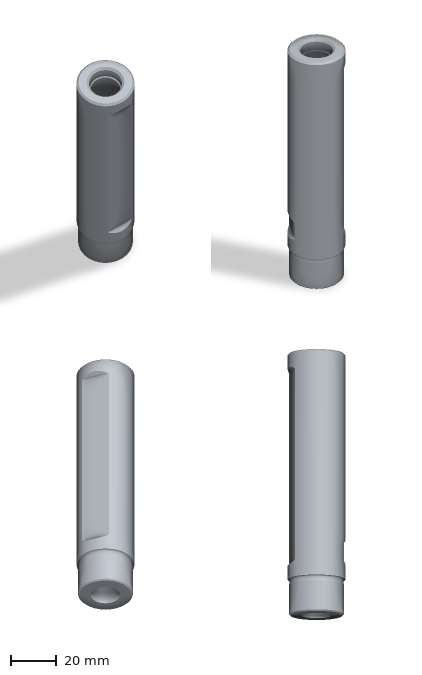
import cadquery as cq

length = 116.5
body_diameter = 25.4
spigot_diameter = 24.0
spigot_length = 16.0
body_radius = body_diameter / 2
spigot_radius = spigot_diameter / 2

top_chamfer = 0.9
spigot_chamfer = 0.6

groove_width = 1.0
groove_depth = 0.1
groove_fillet = 0.6
groove_taper = 1.4

bore_diameter = 12.9
counterbore_diameter = 14.5
counterbore_depth = 5.4
mouth_diameter = 16.5

flat_offset = 11.0
flat_depth = body_radius - flat_offset
flat_bottom = 21.8
short_flat_top = 33.3
long_flat_top = 110.2


def make_shaft():
    """Revolve the stepped outer profile, with its chamfers and filleted relief groove."""
    groove_radius = spigot_radius - groove_depth
    groove_bottom = spigot_length - groove_width
    fillet_end = (groove_radius + groove_fillet, spigot_length)
    return (
        cq.Workplane("XZ")
        .moveTo(0, 0)
        .lineTo(spigot_radius - spigot_chamfer, 0)
        .lineTo(spigot_radius, spigot_chamfer)
        .lineTo(spigot_radius, groove_bottom - groove_taper)
        .lineTo(groove_radius, groove_bottom)
        .lineTo(groove_radius, spigot_length - groove_fillet)
        .radiusArc(fillet_end, groove_fillet)
        .lineTo(body_radius, spigot_length)
        .lineTo(body_radius, length - top_chamfer)
        .lineTo(body_radius - top_chamfer, length)
        .lineTo(0, length)
        .close()
        .revolve(360, (0, 0, 0), (0, 1, 0))
    )


def make_bore():
    """Revolve the through bore with its counterbore and chamfered mouth."""
    bore_radius = bore_diameter / 2
    counterbore_radius = counterbore_diameter / 2
    mouth_radius = mouth_diameter / 2
    mouth_depth = mouth_radius - counterbore_radius
    return (
        cq.Workplane("XZ")
        .moveTo(0, 0)
        .lineTo(bore_radius, 0)
        .lineTo(bore_radius, length - counterbore_depth)
        .lineTo(counterbore_radius, length - counterbore_depth)
        .lineTo(counterbore_radius, length - mouth_depth)
        .lineTo(mouth_radius, length)
        .lineTo(0, length)
        .close()
        .revolve(360, (0, 0, 0), (0, 1, 0))
    )


def make_flat_cutter(side, bottom, top):
    """Prism that cuts a ramped flat; side is -1 for -X and +1 for +X."""
    return (
        cq.Workplane("XZ")
        .moveTo(side * body_radius, bottom)
        .lineTo(side * flat_offset, bottom + flat_depth)
        .lineTo(side * flat_offset, top - flat_depth)
        .lineTo(side * body_radius, top)
        .close()
        .extrude(body_radius, both=True)
    )


result = make_shaft().cut(make_bore())
for side, top in ((-1, short_flat_top), (1, long_flat_top)):
    result = result.cut(make_flat_cutter(side, flat_bottom, top))